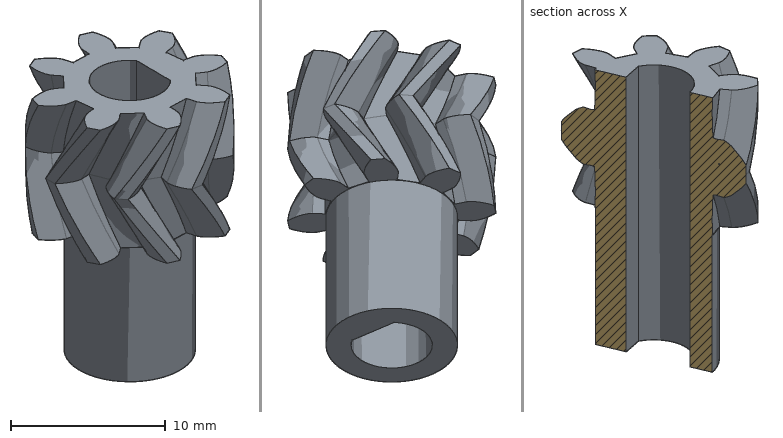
import cadquery as cq
import math

total_height = 20.0
gear_height = 10.0
half_gear_height = gear_height / 2
hub_height = total_height - gear_height
mid_plane_z = hub_height + half_gear_height

hub_diameter = 8.5
bore_diameter = 5.25
bore_flat_distance = 2.0

tooth_count = 8
tip_radius = 6.75
base_radius = 5.12
root_radius = 4.35
base_half_angle = 12.4
twist_angle = 29.5
flank_points = 7


def polar(radius, angle):
    """Point at a radius and an angle in radians."""
    return (radius * math.cos(angle), radius * math.sin(angle))


def involute_flank(tooth_angle, side):
    """Points along one flank from base circle to tip; side is -1 or +1."""
    tip_roll = math.sqrt((tip_radius / base_radius) ** 2 - 1)
    points = []
    for i in range(flank_points):
        roll = tip_roll * i / (flank_points - 1)
        radius = base_radius * math.sqrt(1 + roll**2)
        inward_turn = roll - math.atan(roll)
        angle = tooth_angle + side * (math.radians(base_half_angle) - inward_turn)
        points.append(polar(radius, angle))
    return points


def gear_profile():
    """Closed tooth outline: radial roots, involute flanks, flat tips and flat gaps."""
    half_angle = math.radians(base_half_angle)
    profile = cq.Workplane("XY", origin=(0, 0, mid_plane_z))
    profile = profile.moveTo(*polar(root_radius, -half_angle))
    for tooth in range(tooth_count):
        tooth_angle = 2 * math.pi * tooth / tooth_count
        rising = involute_flank(tooth_angle, -1)
        falling = involute_flank(tooth_angle, 1)[::-1]
        if tooth > 0:
            profile = profile.lineTo(*polar(root_radius, tooth_angle - half_angle))
        profile = profile.lineTo(*rising[0])
        profile = profile.spline(rising[1:], includeCurrent=True)
        profile = profile.lineTo(*falling[0])
        profile = profile.spline(falling[1:], includeCurrent=True)
        profile = profile.lineTo(*polar(root_radius, tooth_angle + half_angle))
    return profile.close()


def herringbone_gear():
    """Two mirrored helical halves that meet on the mid plane."""
    upper = gear_profile().twistExtrude(half_gear_height, twist_angle)
    lower = upper.mirror("XY", (0, 0, mid_plane_z))
    return upper.union(lower)


def bore():
    """Through hole with one flat."""
    hole = cq.Workplane("XY").circle(bore_diameter / 2).extrude(total_height)
    below_flat = (
        cq.Workplane("XY")
        .center(0, bore_flat_distance - bore_diameter / 2)
        .rect(bore_diameter, bore_diameter)
        .extrude(total_height)
    )
    return hole.intersect(below_flat)


hub = cq.Workplane("XY").circle(hub_diameter / 2).extrude(hub_height)

result = herringbone_gear().union(hub).cut(bore())